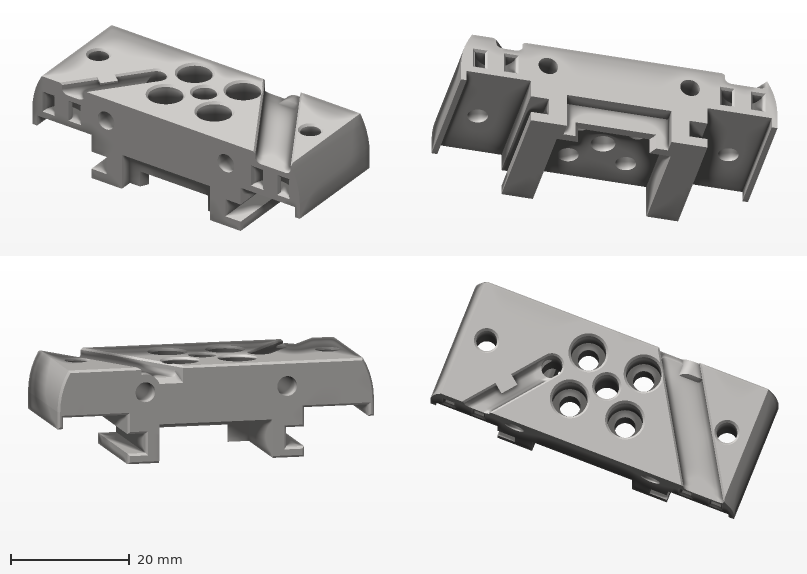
import cadquery as cq
import math

LENGTH = 55.0
DEPTH = 21.0
HEIGHT = 16.5
HALF_LENGTH = LENGTH / 2
BACK_CHAMFER = 0.4
HOLE_CHAMFER = 0.4
OVERCUT = 0.55

TOP_HALF_LENGTH = 25.6
ARC_FOOT_Z = 9.45
WING_Z = 8.45
LIP_Z = 6.5
LIP_THICKNESS = 1.0

NECK_HALF_WIDTH = 15.35
SLOT_BOTTOM_Z = 1.8
SLOT_TOP_Z = 5.15
SLOT_HALF_WIDTH = 12.2

RECESS_HALF_WIDTH = 9.1
RECESS_TOP_Z = 6.65
RECESS_DEPTH = 2.35
WEB_THICKNESS = 1.5
WINDOW_TOP_Z = 2.95
WINDOW_FRONT_HALF_WIDTH = 7.0
WINDOW_BACK_HALF_WIDTH = 6.2
POCKET_HALF_WIDTH = 9.9

CENTRE_Y = 11.4
CENTRE_HOLE_DIAMETER = 4.2
CORNER_OFFSET_X = 5.0
CORNER_OFFSET_Y = 4.3
CORNER_HOLE_DIAMETER = 3.6
COUNTERBORE_DIAMETER = 6.0
COUNTERBORE_DEPTH = 5.5
END_HOLE_X = 21.8
END_HOLE_DIAMETER = 3.5

CROSS_BORE_X = 12.3
CROSS_BORE_Z = 12.25
CROSS_BORE_DIAMETER = 3.4

CHANNEL_DEPTH = 2.0
CHANNEL_FILLET = 1.0
CHANNEL_CHAMFER = 0.35
CHANNEL_FLOOR_Z = HEIGHT - CHANNEL_DEPTH

WIRE_HOLE_X = -9.95
WIRE_HOLE_DIAMETER = 3.6
NARROW_FRONT_X = -19.1
SILL_CREST_X = -10.35
SILL_RADIUS = 1.15
TAB_START = 6.7
TAB_LENGTH = 3.1
TAB_THICKNESS = 0.35

WIDE_WIDTH = 6.2
WIDE_FRONT_X = 22.0
WIDE_ANGLE = 31.0
FLOOR_CHAMFER = 0.95

STOP_CREST_X = 12.3
STOP_RADIUS = 2.65
STOP_HEIGHT = 0.75
STOP_TOP_Y = 18.7
STOP_FOOT_Y = 18.05

TUNNEL_X = 21.45
TUNNEL_RADIUS = 2.7
TUNNEL_WIDTH = 1.75
TUNNEL_BOTTOM_Z = 10.0
TUNNEL_TOP_Z = 13.15
TUNNEL_CHAMFER = 0.4


def box(x_min, x_max, y_min, y_max, z_min, z_max):
    """Axis-aligned box between two corners."""
    return cq.Workplane("XY").box(
        x_max - x_min, y_max - y_min, z_max - z_min, centered=False
    ).translate((x_min, y_min, z_min))


def make_body():
    """Front outline extruded to the back, with the back edges chamfered."""
    rise = HEIGHT - ARC_FOOT_Z
    run = HALF_LENGTH - TOP_HALF_LENGTH
    radius = (rise**2 + run**2) / (2 * run)
    half_sweep = math.asin(rise / radius) / 2
    arc_mid_x = HALF_LENGTH - radius + radius * math.cos(half_sweep)
    arc_mid_z = ARC_FOOT_Z + radius * math.sin(half_sweep)
    lip_inner_x = HALF_LENGTH - LIP_THICKNESS

    half = (
        cq.Workplane("XZ")
        .moveTo(0, HEIGHT)
        .lineTo(TOP_HALF_LENGTH, HEIGHT)
        .threePointArc((arc_mid_x, arc_mid_z), (HALF_LENGTH, ARC_FOOT_Z))
        .lineTo(HALF_LENGTH, LIP_Z)
        .lineTo(lip_inner_x, LIP_Z)
        .lineTo(lip_inner_x, WING_Z)
        .lineTo(NECK_HALF_WIDTH, WING_Z)
        .lineTo(NECK_HALF_WIDTH, SLOT_TOP_Z)
        .lineTo(SLOT_HALF_WIDTH, SLOT_TOP_Z)
        .lineTo(SLOT_HALF_WIDTH, SLOT_BOTTOM_Z)
        .lineTo(NECK_HALF_WIDTH, SLOT_BOTTOM_Z)
        .lineTo(NECK_HALF_WIDTH, 0)
        .lineTo(0, 0)
        .mirrorY()
        .extrude(-DEPTH)
    )
    return half.faces(">Y").edges().chamfer(BACK_CHAMFER)


def underside_cutter():
    """Front recess, tapered window through the web and the pocket behind it."""
    web_back = RECESS_DEPTH + WEB_THICKNESS
    recess = box(
        -RECESS_HALF_WIDTH, RECESS_HALF_WIDTH, -OVERCUT, RECESS_DEPTH, -OVERCUT, RECESS_TOP_Z
    )
    window = (
        cq.Workplane("XY")
        .polyline([
            (-WINDOW_FRONT_HALF_WIDTH, RECESS_DEPTH),
            (WINDOW_FRONT_HALF_WIDTH, RECESS_DEPTH),
            (WINDOW_BACK_HALF_WIDTH, web_back),
            (-WINDOW_BACK_HALF_WIDTH, web_back),
        ])
        .close()
        .extrude(WINDOW_TOP_Z)
    )
    pocket = box(
        -POCKET_HALF_WIDTH, POCKET_HALF_WIDTH, web_back, DEPTH + OVERCUT, -OVERCUT, RECESS_TOP_Z
    )
    return recess.union(window).union(pocket)


def hole_cutter(x, y, diameter, bottom_z, chamfer=HOLE_CHAMFER):
    """Vertical hole from the top face down to bottom_z, chamfered at its mouth."""
    radius = diameter / 2
    profile = (
        cq.Workplane("XZ")
        .polyline([
            (0, bottom_z),
            (radius, bottom_z),
            (radius, HEIGHT - chamfer),
            (radius + chamfer, HEIGHT),
            (0, HEIGHT),
        ])
        .close()
    )
    return profile.revolve(360, (0, 0, 0), (0, 1, 0)).translate((x, y, 0))


def vertical_holes():
    """Centre hole, four counterbored holes around it, end holes and wire hole."""
    cutter = hole_cutter(0, CENTRE_Y, CENTRE_HOLE_DIAMETER, 0)
    for side in (-1, 1):
        cutter = cutter.union(hole_cutter(side * END_HOLE_X, CENTRE_Y, END_HOLE_DIAMETER, 0))
        for row in (-1, 1):
            x = side * CORNER_OFFSET_X
            y = CENTRE_Y + row * CORNER_OFFSET_Y
            bore = hole_cutter(x, y, COUNTERBORE_DIAMETER, HEIGHT - COUNTERBORE_DEPTH)
            through = cq.Workplane("XY").center(x, y).circle(CORNER_HOLE_DIAMETER / 2).extrude(HEIGHT)
            cutter = cutter.union(bore).union(through)
    wire_hole = hole_cutter(
        WIRE_HOLE_X, CENTRE_Y, WIRE_HOLE_DIAMETER, RECESS_TOP_Z, CHANNEL_CHAMFER
    )
    return cutter.union(wire_hole)


def wire_sill():
    """Sump in the wire hole floor, leaving a rounded sill beside the pocket."""
    sweep = math.radians(45)
    corner = SILL_RADIUS * math.sin(sweep)
    half_corner_x = SILL_RADIUS * math.sin(sweep / 2)
    half_corner_z = SILL_RADIUS * math.cos(sweep / 2)
    centre_z = RECESS_TOP_Z - SILL_RADIUS
    slope_x = SILL_CREST_X - corner
    left_x = WIRE_HOLE_X - WIRE_HOLE_DIAMETER / 2
    slope_z = centre_z + corner
    sump = (
        cq.Workplane("XZ")
        .moveTo(SILL_CREST_X, RECESS_TOP_Z)
        .threePointArc(
            (SILL_CREST_X - half_corner_x, centre_z + half_corner_z), (slope_x, slope_z)
        )
        .lineTo(left_x, slope_z - (slope_x - left_x))
        .lineTo(left_x, RECESS_TOP_Z)
        .close()
        .extrude(-DEPTH)
    )
    hole = cq.Workplane("XY").center(WIRE_HOLE_X, CENTRE_Y).circle(WIRE_HOLE_DIAMETER / 2)
    return sump.intersect(hole.extrude(HEIGHT))


def cross_bores():
    """Two round bores through the block from front to back."""
    return (
        cq.Workplane("XZ")
        .pushPoints([(-CROSS_BORE_X, CROSS_BORE_Z), (CROSS_BORE_X, CROSS_BORE_Z)])
        .circle(CROSS_BORE_DIAMETER / 2)
        .extrude(-DEPTH)
    )


def channel_cutter(width, length):
    """Channel along -Y from the origin: chamfered mouth and rounded floor edges."""
    half = width / 2
    mouth = half + CHANNEL_CHAMFER
    corner = CHANNEL_FILLET * (1 - math.sqrt(0.5))
    floor_half = half - CHANNEL_FILLET
    floor_arc_z = CHANNEL_FLOOR_Z + CHANNEL_FILLET
    return (
        cq.Workplane("XZ")
        .moveTo(-mouth, HEIGHT)
        .lineTo(-half, HEIGHT - CHANNEL_CHAMFER)
        .lineTo(-half, floor_arc_z)
        .threePointArc((corner - half, CHANNEL_FLOOR_Z + corner), (-floor_half, CHANNEL_FLOOR_Z))
        .lineTo(floor_half, CHANNEL_FLOOR_Z)
        .threePointArc((half - corner, CHANNEL_FLOOR_Z + corner), (half, floor_arc_z))
        .lineTo(half, HEIGHT - CHANNEL_CHAMFER)
        .lineTo(mouth, HEIGHT)
        .close()
        .extrude(length)
    )


def narrow_channel():
    """Channel from the wire hole to the front face, half bridged by a thin tab."""
    run = WIRE_HOLE_X - NARROW_FRONT_X
    angle = math.degrees(math.atan2(run, CENTRE_Y))
    length = math.hypot(run, CENTRE_Y) + WIRE_HOLE_DIAMETER
    tab = box(
        -WIRE_HOLE_DIAMETER, 0, -TAB_START - TAB_LENGTH, -TAB_START, HEIGHT - TAB_THICKNESS, HEIGHT
    )
    cutter = channel_cutter(WIRE_HOLE_DIAMETER, length).cut(tab)
    return cutter.rotate((0, 0, 0), (0, 0, 1), -angle).translate((WIRE_HOLE_X, CENTRE_Y, 0))


def channel_stop():
    """Stop at the back of the wide channel: rounded on one side, sloped in front."""
    crest_z = CHANNEL_FLOOR_Z + STOP_HEIGHT
    base_z = crest_z - STOP_RADIUS
    corner = STOP_RADIUS * math.sqrt(0.5)
    profile = (
        cq.Workplane("XZ")
        .moveTo(STOP_CREST_X - STOP_RADIUS, base_z)
        .threePointArc((STOP_CREST_X - corner, base_z + corner), (STOP_CREST_X, crest_z))
        .lineTo(STOP_CREST_X + WIDE_WIDTH, crest_z)
        .lineTo(STOP_CREST_X + WIDE_WIDTH, base_z)
        .close()
        .extrude(-DEPTH)
    )
    slope = (STOP_TOP_Y - STOP_FOOT_Y) / STOP_HEIGHT
    keep = (
        cq.Workplane("YZ")
        .polyline([
            (STOP_TOP_Y, crest_z),
            (DEPTH, crest_z),
            (DEPTH, base_z),
            (STOP_TOP_Y - slope * STOP_RADIUS, base_z),
        ])
        .close()
        .extrude(LENGTH)
    )
    return profile.intersect(keep)


def wide_channel():
    """Channel across the whole top, its floor chamfered at the back around the stop."""
    tangent = math.tan(math.radians(WIDE_ANGLE))
    overshoot = WIDE_WIDTH
    length = DEPTH / math.cos(math.radians(WIDE_ANGLE)) + 2 * overshoot
    full_height = box(-WIDE_WIDTH / 2, WIDE_WIDTH / 2, -length, 0, 0, HEIGHT)

    def place(shape):
        """Turn a shape lying along -Y onto the channel axis."""
        turned = shape.translate((0, overshoot, 0)).rotate((0, 0, 0), (0, 0, 1), WIDE_ANGLE)
        return turned.translate((WIDE_FRONT_X - DEPTH * tangent, DEPTH, 0))

    slope_start_y = DEPTH - FLOOR_CHAMFER - CHANNEL_FILLET
    wedge = (
        cq.Workplane("YZ")
        .polyline([
            (slope_start_y, CHANNEL_FLOOR_Z + CHANNEL_FILLET),
            (DEPTH, CHANNEL_FLOOR_Z - FLOOR_CHAMFER),
            (DEPTH, CHANNEL_FLOOR_Z + CHANNEL_FILLET),
        ])
        .close()
        .extrude(LENGTH)
    )
    channel = place(channel_cutter(WIDE_WIDTH, length))
    return channel.union(place(full_height).intersect(wedge)).cut(channel_stop())


def tie_tunnel(x):
    """Half-ring tunnel whose two chamfered mouths open in the front face."""
    height = TUNNEL_TOP_Z - TUNNEL_BOTTOM_Z
    middle_z = (TUNNEL_BOTTOM_Z + TUNNEL_TOP_Z) / 2
    ring = (
        cq.Workplane("XY")
        .circle(TUNNEL_RADIUS + TUNNEL_WIDTH / 2)
        .circle(TUNNEL_RADIUS - TUNNEL_WIDTH / 2)
        .extrude(height)
        .translate((x, 0, TUNNEL_BOTTOM_Z))
    )
    for side in (-1, 1):
        mouth = (
            cq.Workplane("XZ")
            .center(x + side * TUNNEL_RADIUS, middle_z)
            .rect(TUNNEL_WIDTH + 2 * TUNNEL_CHAMFER, height + 2 * TUNNEL_CHAMFER)
            .workplane(offset=-TUNNEL_CHAMFER)
            .rect(TUNNEL_WIDTH, height)
            .loft(ruled=True)
        )
        ring = ring.union(mouth)
    return ring


result = (
    make_body()
    .cut(underside_cutter())
    .cut(cross_bores())
    .cut(narrow_channel())
    .cut(wide_channel())
    .cut(vertical_holes())
    .cut(wire_sill())
    .cut(tie_tunnel(-TUNNEL_X))
    .cut(tie_tunnel(TUNNEL_X))
)